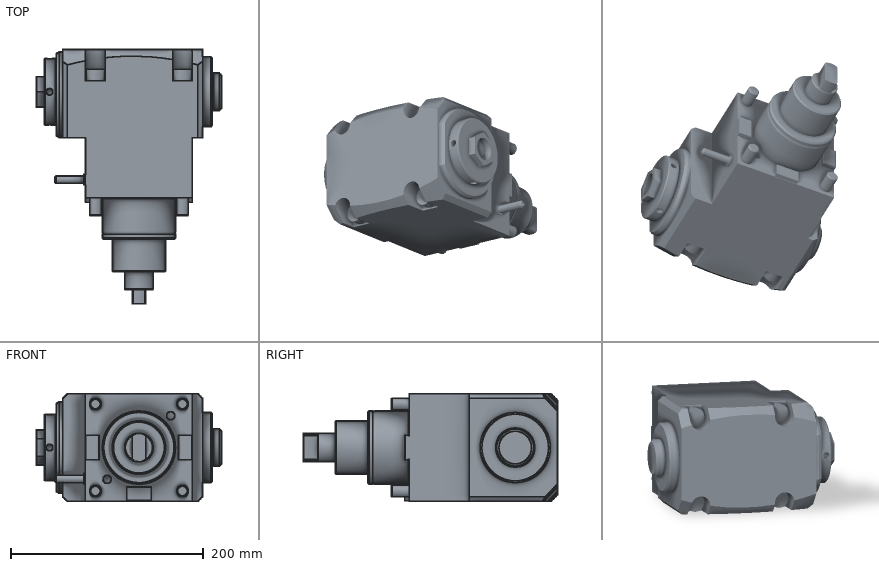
import cadquery as cq
import math


BLOCK_HEIGHT = 112.0
NECK_WIDTH = 111.0
HEAD_LEFT = -79.2
HEAD_RIGHT = 66.0
HEAD_FRONT = 62.3
REAR = 154.2
HEAD_CHAMFER = 5.0
REAR_CONE_RADIUS = 241.3
REAR_CONE_OFFSET = 192.5

PILOT_RADIUS = 38.0
PILOT_LENGTH = 43.0
PILOT_CHAMFER = 1.5
RELIEF_WIDTH = 0.8
RELIEF_DEPTH = 0.5
SEAL_START = 34.3
SEAL_END = 37.8
SEAL_DROP = 1.3
SEAL_BULGE = 0.3
SLEEVE_RADIUS = 27.7
SLEEVE_END = 76.8
SLEEVE_CHAMFER = 1.3
SHAFT_RADIUS = 14.92
SHAFT_END = 95.0
SHAFT_CHAMFER = 0.8
TANG_END = 109.8
TANG_THICKNESS = 14.0
TANG_CHAMFER = 1.0

DRILL_POINT_ANGLE = 118.0

BOLT_OFFSET = 45.1
BOLT_RADIUS = 6.0
BOLT_LENGTH = 18.7
BOLT_CHAMFER = 1.0
POCKET_RADIUS = 10.3
POCKET_FLOOR = 121.5
BOLT_HEAD_RADIUS = 9.5
BOLT_HEAD_HEIGHT = 12.0

KEY_INNER = 41.0
KEY_OUTER = 55.5
KEY_WIDTH = 25.0
KEY_HEIGHT = 4.8
KEY_CHAMFER = 0.5

PORT_OFFSET = 33.0
PORT_RADIUS = 4.2
PORT_DEPTH = 26.5
BLANK_PORT_DEPTH = 1.0
TUBE_Y = 19.0
TUBE_Z = -32.5
TUBE_RADIUS = 4.0
TUBE_TIP = -87.5
TUBE_CHAMFER = 1.5
TUBE_BORE_RADIUS = 1.5
COLLAR_RADIUS = 5.5
COLLAR_THICKNESS = 1.5

SPINDLE_Y = 110.0
COVER_RADIUS = 47.5
COVER_LEFT = -85.8
COVER_FLAT = 41.5
COVER_BEVEL_LENGTH = 3.2
COVER_BEVEL_ANGLE = 30.0
RING_RADIUS = 34.5
RING_LEFT = -98.5
RING_CHAMFER = 1.0
SPANNER_HOLE_X = -92.7
SPANNER_HOLE_RADIUS = 3.5
SPANNER_HOLE_DEPTH = 8.0

CAP_RADIUS = 36.5
CAP_RIGHT = 76.3
CAP_CHAMFER = 1.8

SPINDLE_RADIUS = 20.3
HEX_LEFT = -106.5
HEX_ACROSS_FLATS = 31.7
SOCKET_RADIUS = 12.0
SOCKET_DEPTH = 8.0
STUB_RADIUS = 19.5
STUB_RIGHT = 85.8
STUB_CHAMFER = 2.6
STUB_NECK_LENGTH = 1.3
STUB_NECK_DEPTH = 0.5

X_AXIS = cq.Vector(1, 0, 0)
Y_AXIS = cq.Vector(0, 1, 0)


def x_cylinder(radius, left, right, y=SPINDLE_Y, z=0.0):
    """Cylinder parallel to X between two X positions."""
    return cq.Workplane(cq.Solid.makeCylinder(radius, right - left, cq.Vector(left, y, z), X_AXIS))


def y_cylinder(radius, front, rear, x=0.0, z=0.0):
    """Cylinder parallel to Y between two Y positions."""
    return cq.Workplane(cq.Solid.makeCylinder(radius, rear - front, cq.Vector(x, front, z), Y_AXIS))


def box(x_range, y_range, z_range):
    """Box given by its limits along each axis."""
    size = [high - low for low, high in (x_range, y_range, z_range)]
    corner = (x_range[0], y_range[0], z_range[0])
    return cq.Workplane().box(*size, centered=False).translate(corner)


def make_block():
    """T-shaped block with chamfered head edges and conical bevels at the rear."""
    z_range = (-BLOCK_HEIGHT / 2, BLOCK_HEIGHT / 2)
    head = box((HEAD_LEFT, HEAD_RIGHT), (HEAD_FRONT, REAR), z_range)
    head = head.edges("|Y").chamfer(HEAD_CHAMFER)
    neck = box((-NECK_WIDTH / 2, NECK_WIDTH / 2), (0, REAR), z_range)
    block = neck.union(head)
    head_middle = (HEAD_LEFT + HEAD_RIGHT) / 2
    for side in (-1, 1):
        cone_base = cq.Vector(head_middle, 0, side * REAR_CONE_OFFSET)
        bevel = cq.Solid.makeCone(REAR_CONE_RADIUS + REAR, REAR_CONE_RADIUS, REAR, cone_base, Y_AXIS)
        block = block.intersect(cq.Workplane(bevel))
    return block


def make_shank():
    """Pilot with seal, sleeve and shaft, turned about the Y axis."""
    seal_middle = (SEAL_START + SEAL_END) / 2
    return (
        cq.Workplane("XY")
        .moveTo(0, 0)
        .lineTo(PILOT_RADIUS - RELIEF_DEPTH, 0)
        .lineTo(PILOT_RADIUS - RELIEF_DEPTH, -RELIEF_WIDTH)
        .lineTo(PILOT_RADIUS, -RELIEF_WIDTH)
        .lineTo(PILOT_RADIUS, -SEAL_START)
        .threePointArc(
            (PILOT_RADIUS - SEAL_BULGE, -seal_middle),
            (PILOT_RADIUS - SEAL_DROP, -SEAL_END),
        )
        .lineTo(PILOT_RADIUS, -SEAL_END)
        .lineTo(PILOT_RADIUS, PILOT_CHAMFER - PILOT_LENGTH)
        .lineTo(PILOT_RADIUS - PILOT_CHAMFER, -PILOT_LENGTH)
        .lineTo(SLEEVE_RADIUS, -PILOT_LENGTH)
        .lineTo(SLEEVE_RADIUS, SLEEVE_CHAMFER - SLEEVE_END)
        .lineTo(SLEEVE_RADIUS - SLEEVE_CHAMFER, -SLEEVE_END)
        .lineTo(SHAFT_RADIUS, -SLEEVE_END)
        .lineTo(SHAFT_RADIUS, SHAFT_CHAMFER - SHAFT_END)
        .lineTo(SHAFT_RADIUS - SHAFT_CHAMFER, -SHAFT_END)
        .lineTo(0, -SHAFT_END)
        .close()
        .revolve(360, (0, 0, 0), (0, 1, 0))
    )


def make_tang():
    """Flat drive tang with chamfered long edges at the end of the shaft."""
    tang = y_cylinder(SHAFT_RADIUS, -TANG_END, -SHAFT_END)
    slab = box(
        (-TANG_THICKNESS / 2, TANG_THICKNESS / 2),
        (-TANG_END, -SHAFT_END),
        (-SHAFT_RADIUS, SHAFT_RADIUS),
    )
    return tang.intersect(slab).edges("|Y").edges("<X or >X").chamfer(TANG_CHAMFER)


def make_bolt(x, z):
    """Bolt with its head in the pocket and its end ahead of the mounting face."""
    thread = y_cylinder(BOLT_RADIUS, -BOLT_LENGTH, POCKET_FLOOR, x, z)
    thread = thread.faces("<Y").chamfer(BOLT_CHAMFER)
    head = y_cylinder(BOLT_HEAD_RADIUS, POCKET_FLOOR, POCKET_FLOOR + BOLT_HEAD_HEIGHT, x, z)
    return thread.union(head)


def make_pocket(x, z):
    """Round-bottomed pocket, open to the rear and to the nearer of top and bottom."""
    bore = y_cylinder(POCKET_RADIUS, POCKET_FLOOR, REAR, x, z)
    outside = BLOCK_HEIGHT / 2 if z > 0 else -BLOCK_HEIGHT / 2
    opening = box(
        (x - POCKET_RADIUS, x + POCKET_RADIUS),
        (POCKET_FLOOR, REAR),
        (min(z, outside), max(z, outside)),
    )
    return bore.union(opening)


def make_key(angle):
    """Key on the mounting face, turned about the shank axis from the +X direction."""
    key = box((KEY_INNER, KEY_OUTER), (-KEY_HEIGHT, 0), (-KEY_WIDTH / 2, KEY_WIDTH / 2))
    key = key.faces("<Y").edges("|Z").chamfer(KEY_CHAMFER)
    return key.rotate((0, 0, 0), (0, 1, 0), angle)


def make_coolant_tube():
    """Coolant tube with a collar against the left side of the neck."""
    side = -NECK_WIDTH / 2
    tube = x_cylinder(TUBE_RADIUS, TUBE_TIP, side, TUBE_Y, TUBE_Z).faces("<X").chamfer(TUBE_CHAMFER)
    collar = x_cylinder(COLLAR_RADIUS, side - COLLAR_THICKNESS, side, TUBE_Y, TUBE_Z)
    return tube.union(collar)


def make_tube_bore():
    """Bore along the tube, ending inside the port drilled in the mounting face."""
    return x_cylinder(TUBE_BORE_RADIUS, TUBE_TIP, -PORT_OFFSET, TUBE_Y, TUBE_Z)


def make_drill_point(radius, centre, direction):
    """Conical end of a drilled hole, with its base at the given centre."""
    height = radius / math.tan(math.radians(DRILL_POINT_ANGLE / 2))
    return cq.Workplane(cq.Solid.makeCone(radius, 0, height, centre, direction))


def make_port():
    """Coolant port drilled in the mounting face, below and left of the shank."""
    bore = y_cylinder(PORT_RADIUS, 0, PORT_DEPTH, -PORT_OFFSET, -PORT_OFFSET)
    bottom = cq.Vector(-PORT_OFFSET, PORT_DEPTH, -PORT_OFFSET)
    return bore.union(make_drill_point(PORT_RADIUS, bottom, Y_AXIS))


def make_blank_port():
    """Shallow flat-bottomed port, opposite the coolant port across the shank."""
    return y_cylinder(PORT_RADIUS, 0, BLANK_PORT_DEPTH, PORT_OFFSET, PORT_OFFSET)


def make_bearing_cover():
    """Round cover with a flat towards the rear and a bevelled outer rim."""
    bevel_start = COVER_LEFT + COVER_BEVEL_LENGTH
    disc = x_cylinder(COVER_RADIUS, bevel_start, HEAD_LEFT)
    limit = box(
        (bevel_start, HEAD_LEFT),
        (SPINDLE_Y - COVER_RADIUS, SPINDLE_Y + COVER_FLAT),
        (-COVER_RADIUS, COVER_RADIUS),
    )
    disc = disc.intersect(limit)
    outline = disc.faces("<X").wires().toPending()
    return outline.workplane().extrude(COVER_BEVEL_LENGTH, taper=COVER_BEVEL_ANGLE)


def make_spanner_ring():
    """Ring with four radial spanner holes."""
    ring = x_cylinder(RING_RADIUS, RING_LEFT, COVER_LEFT).faces("<X or >X").chamfer(RING_CHAMFER)
    bottom = cq.Vector(SPANNER_HOLE_X, SPINDLE_Y, RING_RADIUS - SPANNER_HOLE_DEPTH)
    hole = cq.Workplane(cq.Solid.makeCylinder(SPANNER_HOLE_RADIUS, SPANNER_HOLE_DEPTH, bottom))
    hole = hole.union(make_drill_point(SPANNER_HOLE_RADIUS, bottom, cq.Vector(0, 0, -1)))
    for quarter in range(4):
        turned = hole.rotate((0, SPINDLE_Y, 0), (1, SPINDLE_Y, 0), 90 * quarter)
        ring = ring.cut(turned)
    return ring


def make_end_cap():
    """Round cap on the right of the head."""
    return x_cylinder(CAP_RADIUS, HEAD_RIGHT, CAP_RIGHT).faces(">X").chamfer(CAP_CHAMFER)


def make_housing():
    """Housing with everything fixed to it, bored through for the spindle."""
    housing = make_block()
    bolt_places = [(x, z) for x in (-BOLT_OFFSET, BOLT_OFFSET) for z in (-BOLT_OFFSET, BOLT_OFFSET)]
    for x, z in bolt_places:
        housing = housing.cut(make_pocket(x, z)).union(make_bolt(x, z))
    housing = housing.union(make_shank()).union(make_tang())
    for angle in (0, 90, 180):
        housing = housing.union(make_key(angle))
    housing = housing.union(make_coolant_tube()).cut(make_tube_bore())
    housing = housing.cut(make_port()).cut(make_blank_port())
    housing = housing.union(make_bearing_cover()).union(make_spanner_ring()).union(make_end_cap())
    return housing.cut(x_cylinder(SPINDLE_RADIUS, RING_LEFT, CAP_RIGHT))


def make_spindle():
    """Spindle with a socketed hexagon on the left and a chamfered stub on the right."""
    corner_diameter = HEX_ACROSS_FLATS / (math.sqrt(3) / 2)
    hexagon = (
        cq.Workplane("YZ", origin=(HEX_LEFT, SPINDLE_Y, 0))
        .polygon(6, corner_diameter)
        .extrude(RING_LEFT - HEX_LEFT)
        .rotate((0, SPINDLE_Y, 0), (1, SPINDLE_Y, 0), 90)
    )
    body = x_cylinder(SPINDLE_RADIUS, RING_LEFT, CAP_RIGHT)
    neck = x_cylinder(STUB_RADIUS - STUB_NECK_DEPTH, CAP_RIGHT, CAP_RIGHT + STUB_NECK_LENGTH)
    stub = x_cylinder(STUB_RADIUS, CAP_RIGHT + STUB_NECK_LENGTH, STUB_RIGHT)
    stub = stub.faces(">X").chamfer(STUB_CHAMFER)
    socket = x_cylinder(SOCKET_RADIUS, HEX_LEFT, HEX_LEFT + SOCKET_DEPTH)
    return body.union(hexagon).union(neck).union(stub).cut(socket)


housing = make_housing()
spindle = make_spindle()

result = cq.Compound.makeCompound([housing.val(), spindle.val()])